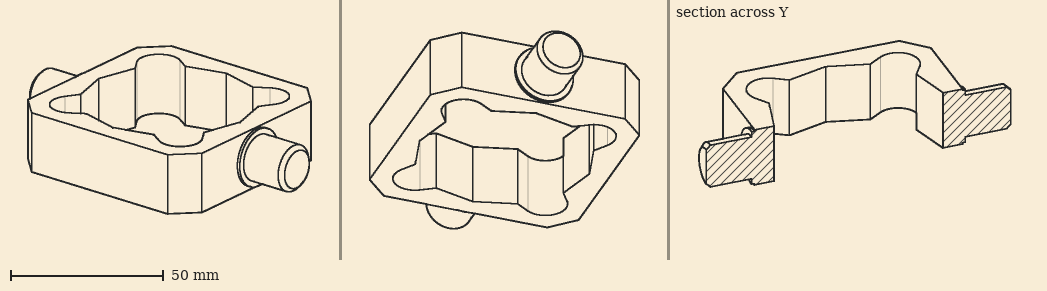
import cadquery as cq
import math

frame_width = 73.0
frame_height = 21.0
corner_chamfer = 8.0

side_apex_distance = 29.65
side_slope = 15.0
lobe_wall_slope = 33.0
lobe_radius = 7.25
lobe_center_offset = 22.75

overall_length = 107.0
collar_diameter = 20.0
collar_thickness = 1.0
pin_diameter = 16.0
pin_chamfer = 1.5
pin_length = (overall_length - frame_width) / 2 - collar_thickness


def rotated(point, degrees):
    """Turn a 2D point about the frame axis."""
    angle = math.radians(degrees)
    x, y = point
    return (
        x * math.cos(angle) - y * math.sin(angle),
        x * math.sin(angle) + y * math.cos(angle),
    )


def make_frame():
    return (
        cq.Workplane("XY")
        .box(frame_width, frame_width, frame_height)
        .edges("|Z")
        .chamfer(corner_chamfer)
    )


def make_opening():
    side_tangent = math.tan(math.radians(side_slope))
    wall_angle = math.radians(lobe_wall_slope)
    wall_tangent = math.tan(wall_angle)

    lobe_start = (
        lobe_center_offset + lobe_radius * math.cos(wall_angle),
        lobe_center_offset - lobe_radius * math.sin(wall_angle),
    )

    wall_x_at_zero = lobe_start[0] - lobe_start[1] * wall_tangent
    inner_y = (side_apex_distance - wall_x_at_zero) / (side_tangent + wall_tangent)
    inner_point = (side_apex_distance - inner_y * side_tangent, inner_y)

    apex = (side_apex_distance, 0)
    lobe_middle = rotated((math.sqrt(2) * lobe_center_offset + lobe_radius, 0), 45)

    lobe_end = lobe_start[::-1]
    next_inner_point = inner_point[::-1]

    outline = cq.Workplane("XY").workplane(offset=-frame_height / 2).moveTo(*apex)
    for turn in (0, 90, 180, 270):
        outline = (
            outline.lineTo(*rotated(inner_point, turn))
            .lineTo(*rotated(lobe_start, turn))
            .threePointArc(rotated(lobe_middle, turn), rotated(lobe_end, turn))
            .lineTo(*rotated(next_inner_point, turn))
        )
        if turn < 270:
            outline = outline.lineTo(*rotated(apex, turn + 90))
    return outline.close().extrude(frame_height)


def make_trunnion():
    """Collar and chamfered pin on the +X side."""
    collar = (
        cq.Workplane("YZ")
        .workplane(offset=frame_width / 2)
        .circle(collar_diameter / 2)
        .extrude(collar_thickness)
    )
    pin = (
        cq.Workplane("YZ")
        .workplane(offset=frame_width / 2 + collar_thickness)
        .circle(pin_diameter / 2)
        .extrude(pin_length)
        .faces(">X")
        .chamfer(pin_chamfer)
    )
    return collar.union(pin)


trunnion = make_trunnion()
result = (
    make_frame()
    .cut(make_opening())
    .union(trunnion)
    .union(trunnion.mirror("YZ"))
)